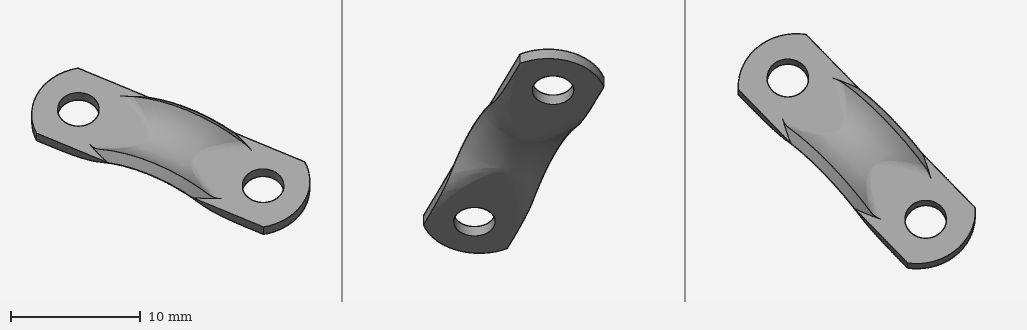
import cadquery as cq
import math

LENGTH = 23.0
WIDTH = 7.0
THICKNESS = 1.0
END_RADIUS = 4.5
HOLE_DIAMETER = 3.2
HOLE_SPACING = 16.0

SADDLE_TOP = 2.39
CHANNEL_RADIUS = 4.0
CHANNEL_HALF_ANGLE = math.radians(45)
RIDGE_ARCH_RADIUS = 10.5
TOP_BLEND_RADIUS = 0.75
UNDERSIDE_BLEND_RADIUS = TOP_BLEND_RADIUS + THICKNESS

outer_radius = CHANNEL_RADIUS + THICKNESS
ridge_y = CHANNEL_RADIUS * math.sin(CHANNEL_HALF_ANGLE)
section_centre_z = SADDLE_TOP + CHANNEL_RADIUS * math.cos(CHANNEL_HALF_ANGLE)
channel_floor_z = section_centre_z - CHANNEL_RADIUS
underside_z = section_centre_z - outer_radius
corner_y = outer_radius * math.sin(CHANNEL_HALF_ANGLE)
corner_z = section_centre_z - outer_radius * math.cos(CHANNEL_HALF_ANGLE)
arch_axis_z = SADDLE_TOP - RIDGE_ARCH_RADIUS


def strap(height):
    """Straight-sided strap with shallow round ends, standing on Z = 0."""
    half_width = WIDTH / 2
    tip_x = LENGTH / 2
    shoulder_x = tip_x - END_RADIUS + math.sqrt(END_RADIUS**2 - half_width**2)
    return (
        cq.Workplane("XY")
        .moveTo(-shoulder_x, -half_width)
        .lineTo(shoulder_x, -half_width)
        .threePointArc((tip_x, 0), (shoulder_x, half_width))
        .lineTo(-shoulder_x, half_width)
        .threePointArc((-tip_x, 0), (-shoulder_x, -half_width))
        .close()
        .extrude(height)
    )


def revolve_about_arch_axis(profile):
    """Turn a YZ profile a full turn about the arch axis."""
    return profile.close().revolve(360, (0, arch_axis_z), (1, arch_axis_z))


def below_channel():
    """Solid of revolution under the channel floor and its sloping end faces."""
    return revolve_about_arch_axis(
        cq.Workplane("YZ")
        .moveTo(-corner_y, arch_axis_z)
        .lineTo(-corner_y, corner_z)
        .lineTo(-ridge_y, SADDLE_TOP)
        .threePointArc((0, channel_floor_z), (ridge_y, SADDLE_TOP))
        .lineTo(corner_y, corner_z)
        .lineTo(corner_y, arch_axis_z)
    )


def below_underside():
    """Solid of revolution under the outer arc of the channel section."""
    return revolve_about_arch_axis(
        cq.Workplane("YZ")
        .moveTo(-corner_y, arch_axis_z)
        .lineTo(-corner_y, corner_z)
        .threePointArc((0, underside_z), (corner_y, corner_z))
        .lineTo(corner_y, arch_axis_z)
    )


def blend_saddle_edges(body, plane_z, radius):
    """Round the two spline edges where the saddle meets the strap face at plane_z."""
    tolerance = 0.01
    edges = [
        edge
        for edge in body.edges("%BSPLINE").vals()
        if abs(edge.Center().z - plane_z) < tolerance
    ]
    return body.newObject(edges).fillet(radius)


def screw_holes():
    return (
        cq.Workplane("XY")
        .pushPoints([(-HOLE_SPACING / 2, 0), (HOLE_SPACING / 2, 0)])
        .circle(HOLE_DIAMETER / 2)
        .extrude(THICKNESS)
    )


saddle = below_channel().intersect(strap(SADDLE_TOP))
clamp = strap(THICKNESS).union(saddle).cut(below_underside())
clamp = blend_saddle_edges(clamp, THICKNESS, TOP_BLEND_RADIUS)
clamp = blend_saddle_edges(clamp, 0, UNDERSIDE_BLEND_RADIUS)

result = clamp.cut(screw_holes())